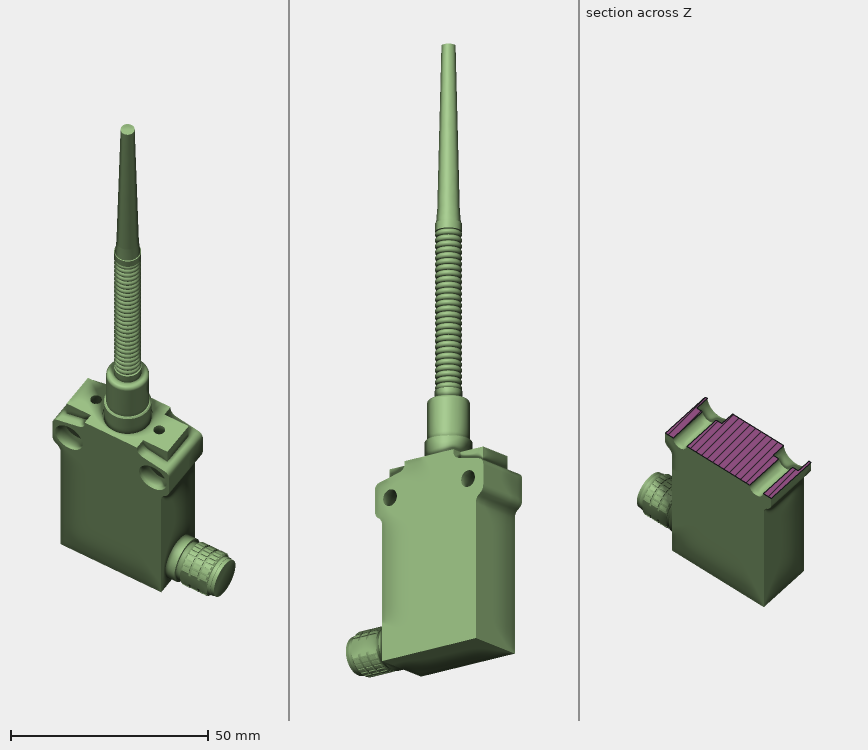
import cadquery as cq
import math

BODY_WIDTH = 30.2
BODY_DEPTH = 16.0
BODY_HEIGHT = 51.9
EAR_SPAN = 35.0
EAR_BOTTOM = 36.2
EAR_FLAT_BOTTOM = 40.5
EAR_CORNER_RADIUS = 1.8
LEDGE_OUTER_Z = 47.5
LEDGE_INNER_Z = 49.6
LEDGE_WALL_X = 7.8
LEDGE_COVE_RADIUS = 2.1
CREST_DEPTH = 10.1

MOUNT_X = 12.5
MOUNT_Z = 43.1
MOUNT_DIAMETER = 4.4
MOUNT_BORE_DIAMETER = 8.2
MOUNT_BORE_DEPTH = 4.2
TOP_HOLE_X = 9.5
TOP_HOLE_DIAMETER = 3.0
TOP_HOLE_DEPTH = 3.3
SEAT_DIAMETER = 12.7
SEAT_DEPTH = 0.8

BUSHING_BASE_DIAMETER = 12.0
BUSHING_BASE_TOP = 57.6
BUSHING_BASE_CHAMFER = 0.3
BUSHING_DIAMETER = 11.0
BUSHING_TOP = 68.5
BUSHING_ROUNDING = 1.0

LOWER_COLLAR_DIAMETER = 7.0
LOWER_COLLAR_TOP = 71.0
SPRING_DIAMETER = 6.9
COIL_COUNT = 27
WIRE_DIAMETER = 1.53
UPPER_COLLAR_BOTTOM = 113.6
UPPER_COLLAR_TOP = 115.7

ROD_BOTTOM_DIAMETER = 6.4
FERRULE_TOP = 119.6
FERRULE_TOP_DIAMETER = 5.7
ROD_TIP_DIAMETER = 3.6
OVERALL_HEIGHT = 163.2

CONNECTOR_Z = 6.2
FLANGE_DIAMETER = 12.0
FLANGE_END = 17.8
CORE_DIAMETER = 10.6
CORE_END = 28.0
NOSE_DIAMETER = 10.3
NOSE_END = 29.0
GRIP_DIAMETER = 11.9
GRIP_START = 19.1
GRIP_END = 27.1
GRIP_CHAMFER = 0.5
GRIP_GROOVES = (21.9, 24.5)
GRIP_GROOVE_WIDTH = 0.7
GRIP_GROOVE_DIAMETER = 11.1
GRIP_ACROSS_FLATS = 10.6
FLUTE_COUNT = 26
FLUTE_WIDTH = 0.5
FLUTE_DEPTH = 0.3


def s_curve_points(x0, z0, x1, z1):
    """Arc mid-points and the joint of an S-curve between two vertical walls."""
    radius = ((x1 - x0) ** 2 + (z1 - z0) ** 2) / (4 * abs(x1 - x0))
    half_angle = math.asin((z1 - z0) / 2 / radius) / 2
    dx = math.copysign(radius * (1 - math.cos(half_angle)), x1 - x0)
    dz = radius * math.sin(half_angle)
    joint = ((x0 + x1) / 2, (z0 + z1) / 2)
    return (x0 + dx, z0 + dz), joint, (x1 - dx, z1 - dz)


def make_eared_plate():
    """Full-depth slab with ears, from one half mirrored about the Z axis."""
    half_body = BODY_WIDTH / 2
    half_ear = EAR_SPAN / 2
    lower_mid, joint, upper_mid = s_curve_points(half_body, EAR_BOTTOM, half_ear, EAR_FLAT_BOTTOM)
    half = (
        cq.Workplane("XZ", origin=(0, BODY_DEPTH / 2, 0))
        .lineTo(half_body, 0)
        .lineTo(half_body, EAR_BOTTOM)
        .threePointArc(lower_mid, joint)
        .threePointArc(upper_mid, (half_ear, EAR_FLAT_BOTTOM))
        .lineTo(half_ear, LEDGE_OUTER_Z)
        .lineTo(LEDGE_WALL_X, LEDGE_INNER_Z)
        .lineTo(LEDGE_WALL_X, BODY_HEIGHT)
        .lineTo(0, BODY_HEIGHT)
        .close()
        .extrude(BODY_DEPTH)
    )
    ear_corner = cq.selectors.NearestToPointSelector((half_ear, 0, LEDGE_OUTER_Z))
    ledge_corner = cq.selectors.NearestToPointSelector((LEDGE_WALL_X, 0, LEDGE_INNER_Z))
    half = half.edges(ear_corner).fillet(EAR_CORNER_RADIUS)
    half = half.edges(ledge_corner).fillet(LEDGE_COVE_RADIUS)
    return half.union(half.mirror("YZ"))


def make_housing():
    crest_bottom = EAR_FLAT_BOTTOM
    crest = cq.Workplane("XY", origin=(0, 0, crest_bottom)).rect(BODY_WIDTH, CREST_DEPTH)
    housing = make_eared_plate().union(crest.extrude(BODY_HEIGHT - crest_bottom))
    housing = (
        housing.faces("<Y").workplane(origin=(0, -BODY_DEPTH / 2, 0))
        .pushPoints([(-MOUNT_X, MOUNT_Z), (MOUNT_X, MOUNT_Z)])
        .cboreHole(MOUNT_DIAMETER, MOUNT_BORE_DIAMETER, MOUNT_BORE_DEPTH)
    )
    top = housing.faces(">Z").workplane(origin=(0, 0, BODY_HEIGHT))
    housing = top.pushPoints([(-TOP_HOLE_X, 0), (TOP_HOLE_X, 0)]).hole(TOP_HOLE_DIAMETER, TOP_HOLE_DEPTH)
    seat = cq.Workplane("XY", origin=(0, 0, BODY_HEIGHT - SEAT_DEPTH)).circle(SEAT_DIAMETER / 2)
    return housing.cut(seat.extrude(SEAT_DEPTH))


def make_bushing():
    foot = BODY_HEIGHT - SEAT_DEPTH
    base = cq.Workplane("XY", origin=(0, 0, foot)).circle(BUSHING_BASE_DIAMETER / 2)
    base = base.extrude(BUSHING_BASE_TOP - foot).faces(">Z").chamfer(BUSHING_BASE_CHAMFER)
    barrel = cq.Workplane("XY", origin=(0, 0, BUSHING_BASE_TOP)).circle(BUSHING_DIAMETER / 2)
    barrel = barrel.extrude(BUSHING_TOP - BUSHING_BASE_TOP).faces(">Z").edges().fillet(BUSHING_ROUNDING)
    return base.union(barrel)


def make_spring():
    """Stack of round wire coils, each outlined by a lower and an upper quarter circle."""
    outer = SPRING_DIAMETER / 2
    wire_radius = WIRE_DIAMETER / 2
    root = outer - wire_radius
    quarter_out = wire_radius * math.sqrt(0.5)
    outline = (
        cq.Workplane("XZ")
        .moveTo(0, BUSHING_TOP)
        .lineTo(LOWER_COLLAR_DIAMETER / 2, BUSHING_TOP)
        .lineTo(LOWER_COLLAR_DIAMETER / 2, LOWER_COLLAR_TOP)
    )
    pitch = (UPPER_COLLAR_BOTTOM - LOWER_COLLAR_TOP) / COIL_COUNT
    for coil in range(COIL_COUNT):
        middle = LOWER_COLLAR_TOP + (coil + 0.5) * pitch
        outline = (
            outline.lineTo(root, middle - wire_radius)
            .threePointArc((root + quarter_out, middle - quarter_out), (outer, middle))
            .threePointArc((root + quarter_out, middle + quarter_out), (root, middle + wire_radius))
        )
    return (
        outline.lineTo(root, UPPER_COLLAR_BOTTOM)
        .lineTo(outer, UPPER_COLLAR_BOTTOM)
        .lineTo(outer, UPPER_COLLAR_TOP)
        .lineTo(0, UPPER_COLLAR_TOP)
        .close()
        .revolve(360, (0, 0, 0), (0, 1, 0))
    )


def make_rod():
    return (
        cq.Workplane("XZ")
        .moveTo(0, UPPER_COLLAR_TOP)
        .lineTo(ROD_BOTTOM_DIAMETER / 2, UPPER_COLLAR_TOP)
        .lineTo(FERRULE_TOP_DIAMETER / 2, FERRULE_TOP)
        .lineTo(ROD_TIP_DIAMETER / 2, OVERALL_HEIGHT)
        .lineTo(0, OVERALL_HEIGHT)
        .close()
        .revolve(360, (0, 0, 0), (0, 1, 0))
    )


def x_cylinder(diameter, start, end):
    """Cylinder on the connector axis between two X positions."""
    return cq.Workplane("YZ", origin=(start, 0, CONNECTOR_Z)).circle(diameter / 2).extrude(end - start)


def make_grip():
    """Fluted grip ring with two grooves around it and a flat on its front and back."""
    grip = x_cylinder(GRIP_DIAMETER, GRIP_START, GRIP_END).faces("<X or >X").chamfer(GRIP_CHAMFER)
    flutes = (
        cq.Workplane("YZ", origin=(GRIP_START, 0, CONNECTOR_Z))
        .polarArray(GRIP_DIAMETER / 2, 0, 360, FLUTE_COUNT)
        .rect(2 * FLUTE_DEPTH, FLUTE_WIDTH)
        .extrude(GRIP_END - GRIP_START)
    )
    grip = grip.cut(flutes)
    for centre in GRIP_GROOVES:
        start = centre - GRIP_GROOVE_WIDTH / 2
        end = centre + GRIP_GROOVE_WIDTH / 2
        groove = x_cylinder(GRIP_DIAMETER, start, end).cut(x_cylinder(GRIP_GROOVE_DIAMETER, start, end))
        grip = grip.cut(groove)
    flats = cq.Workplane("XY", origin=(GRIP_START, 0, CONNECTOR_Z)).box(
        GRIP_END - GRIP_START, GRIP_ACROSS_FLATS, GRIP_DIAMETER, centered=(False, True, True)
    )
    return grip.intersect(flats)


def make_connector():
    flange = x_cylinder(FLANGE_DIAMETER, BODY_WIDTH / 2, FLANGE_END)
    core = x_cylinder(CORE_DIAMETER, FLANGE_END, CORE_END)
    nose = x_cylinder(NOSE_DIAMETER, CORE_END, NOSE_END)
    return flange.union(core).union(nose).union(make_grip())


housing = make_housing()
bushing = make_bushing()
spring = make_spring()
rod = make_rod()
connector = make_connector()

result = cq.Compound.makeCompound(
    [housing.val(), bushing.val(), spring.val(), rod.val(), connector.val()]
)